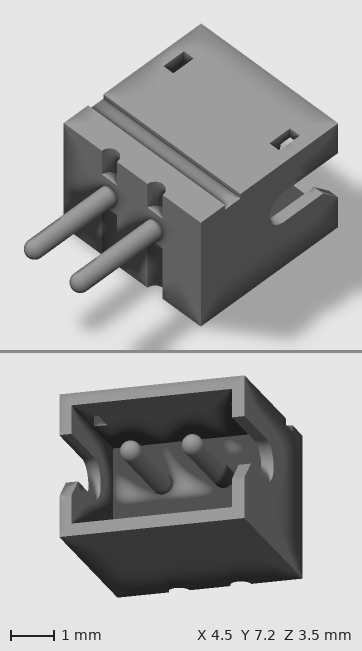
import cadquery as cq

WIDTH = 4.5
LENGTH = 4.5
HEIGHT = 3.5

WALL = 0.3
BASE_THICKNESS = 1.3

SLOT_BOTTOM = 1.5
SLOT_HEIGHT = 1.0
SLOT_DEPTH = LENGTH / 2
SLOT_RADIUS = SLOT_HEIGHT / 2
MOUTH_CHAMFER = 0.5

TOP_GROOVE_WIDTH = 0.5
TOP_GROOVE_DEPTH = 0.15

WINDOW_WIDTH = 0.32
WINDOW_LENGTH = 0.67
WINDOW_SIDE_MARGIN = 0.35
WINDOW_MOUTH_MARGIN = 0.91

PIN_PITCH = 1.5
PIN_RADIUS = 0.25
PIN_HEIGHT = 2.2
PIN_TAIL_LENGTH = 2.7
PIN_MOUTH_RECESS = 0.5

CHANNEL_RADIUS = PIN_RADIUS
CHANNEL_PIN_GAP = 0.5

PIN_POSITIONS = (-PIN_PITCH / 2, PIN_PITCH / 2)


def box(size, corner):
    """Box of the given size with its lowest X, Y, Z corner at the given point."""
    return cq.Workplane("XY").box(*size, centered=False).translate(corner)


def make_shell():
    """Housing block hollowed from the mouth down to the solid base."""
    block = box((WIDTH, LENGTH, HEIGHT), (-WIDTH / 2, 0, 0))
    cavity_size = (WIDTH - 2 * WALL, LENGTH - BASE_THICKNESS, HEIGHT - 2 * WALL)
    cavity = box(cavity_size, (-WIDTH / 2 + WALL, BASE_THICKNESS, WALL))
    return block.cut(cavity)


def make_side_slot():
    """Round-ended slot across the full width, with its lower lip chamfered at the mouth."""
    slot_top = SLOT_BOTTOM + SLOT_HEIGHT
    slot_end = LENGTH - SLOT_DEPTH
    arc_start = slot_end + SLOT_RADIUS
    return (
        cq.Workplane("YZ", origin=(-WIDTH / 2, 0, 0))
        .moveTo(LENGTH, slot_top)
        .lineTo(arc_start, slot_top)
        .threePointArc((slot_end, SLOT_BOTTOM + SLOT_RADIUS), (arc_start, SLOT_BOTTOM))
        .lineTo(LENGTH - MOUTH_CHAMFER, SLOT_BOTTOM)
        .lineTo(LENGTH, SLOT_BOTTOM - MOUTH_CHAMFER)
        .close()
        .extrude(WIDTH)
    )


def make_top_groove():
    """Rectangular groove across the full width of the top."""
    groove_size = (WIDTH, TOP_GROOVE_WIDTH, TOP_GROOVE_DEPTH)
    groove_start = BASE_THICKNESS - TOP_GROOVE_WIDTH
    return box(groove_size, (-WIDTH / 2, groove_start, HEIGHT - TOP_GROOVE_DEPTH))


def make_window(side):
    """Latch window through the top wall; side is -1 or +1 along X."""
    x_center = side * (WIDTH / 2 - WINDOW_SIDE_MARGIN - WINDOW_WIDTH / 2)
    y_start = LENGTH - WINDOW_MOUTH_MARGIN - WINDOW_LENGTH
    window_size = (WINDOW_WIDTH, WINDOW_LENGTH, WALL)
    return box(window_size, (x_center - WINDOW_WIDTH / 2, y_start, HEIGHT - WALL))


def make_channel(x, z_start, z_end):
    """Upright round cutter centred on the base face."""
    return cq.Workplane("XY", origin=(x, 0, z_start)).circle(CHANNEL_RADIUS).extrude(z_end - z_start)


def make_pin(x):
    """Straight round pin along Y with hemispherical ends."""
    pin_length = PIN_TAIL_LENGTH + LENGTH - PIN_MOUTH_RECESS
    pin = (
        cq.Workplane("XZ", origin=(x, -PIN_TAIL_LENGTH + PIN_RADIUS, PIN_HEIGHT))
        .circle(PIN_RADIUS)
        .extrude(-(pin_length - 2 * PIN_RADIUS))
    )
    end_centers = (-PIN_TAIL_LENGTH + PIN_RADIUS, LENGTH - PIN_MOUTH_RECESS - PIN_RADIUS)
    for y in end_centers:
        pin = pin.union(cq.Workplane("XY").sphere(PIN_RADIUS).translate((x, y, PIN_HEIGHT)))
    return pin


housing = make_shell().cut(make_side_slot()).cut(make_top_groove())
for side in (-1, 1):
    housing = housing.cut(make_window(side))
for x in PIN_POSITIONS:
    housing = housing.cut(make_channel(x, 0, PIN_HEIGHT - CHANNEL_PIN_GAP))
    housing = housing.cut(make_channel(x, PIN_HEIGHT + CHANNEL_PIN_GAP, HEIGHT))

result = housing
for x in PIN_POSITIONS:
    result = result.union(make_pin(x))